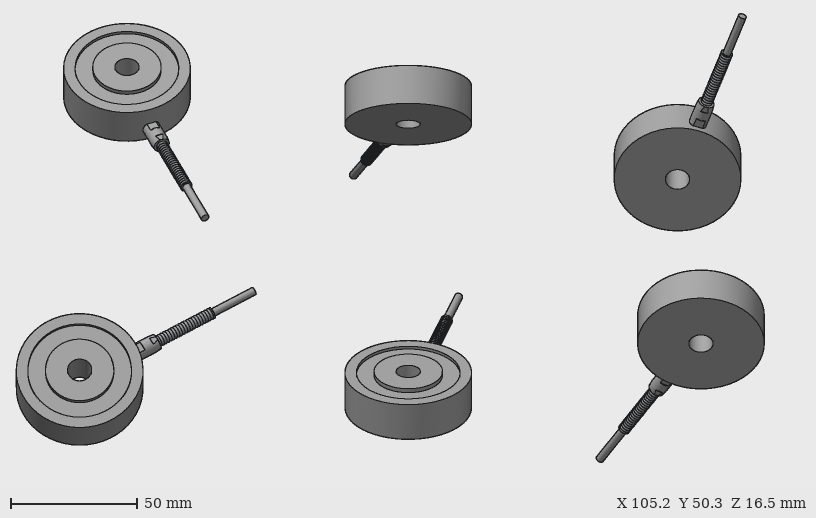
import cadquery as cq
import math

body_diameter = 50.3
body_height = 16.0
bore_diameter = 9.6
recess_diameter = 41.1
recess_depth = 1.3
boss_diameter = 27.2
total_height = 16.5

cable_axis_height = 5.4
body_radius = body_diameter / 2
overall_length = 105.2
cable_end = overall_length - body_radius
entry_depth = 2.1
entry_start = body_radius - entry_depth

gland_diameter = 7.0
gland_length = 8.1
gland_end = body_radius + gland_length
collar_length = 2.3
collar_end = gland_end + collar_length
collar_end_diameter = 6.5
wrench_flat_spacing = 5.9
wrench_flat_length = 3.7
collar_flat_spacing = 6.4
collar_flat_lead = 0.3

rib_count = 21
sleeve_diameter = 4.7
sleeve_root_diameter = 3.9
sleeve_length = 25.4
sleeve_overlap = 0.1
sleeve_start = collar_end - sleeve_overlap
sleeve_end = collar_end + sleeve_length
rib_pitch = (sleeve_end - sleeve_start) / (rib_count + 0.5)

cable_diameter = 3.3


def make_body():
    """Ring with a recessed top face, a raised centre boss and a through bore."""
    ring = cq.Workplane("XY").circle(body_radius).extrude(body_height)
    recess = (
        cq.Workplane("XY")
        .workplane(offset=body_height - recess_depth)
        .circle(recess_diameter / 2)
        .extrude(recess_depth)
    )
    boss = cq.Workplane("XY").circle(boss_diameter / 2).extrude(total_height)
    bore = cq.Workplane("XY").circle(bore_diameter / 2).extrude(total_height)
    return ring.cut(recess).union(boss).cut(bore)


def revolve_about_cable(profile):
    """Turn a closed profile, drawn as (x, radius), about the cable axis."""
    turned = profile.close().revolve(360, (0, 0, 0), (1, 0, 0))
    return turned.translate((0, 0, cable_axis_height))


def flat_cutters(x_start, x_end, spacing):
    """Blocks above and below the cable axis that leave two flats this far apart."""
    height = gland_diameter - spacing
    blocks = cq.Workplane("XY")
    for side in (1, -1):
        center = (
            (x_start + x_end) / 2,
            0,
            cable_axis_height + side * (spacing + height) / 2,
        )
        block = cq.Workplane("XY").box(x_end - x_start, gland_diameter, height)
        blocks = blocks.add(block.translate(center))
    return blocks.combine()


def make_gland():
    """Round gland with wrench flats next to the body and a tapered, flatted collar."""
    profile = (
        cq.Workplane("XZ")
        .moveTo(entry_start, 0)
        .lineTo(entry_start, gland_diameter / 2)
        .lineTo(gland_end, gland_diameter / 2)
        .lineTo(collar_end, collar_end_diameter / 2)
        .lineTo(collar_end, 0)
    )
    wrench_flats = flat_cutters(entry_start, body_radius + wrench_flat_length, wrench_flat_spacing)
    collar_flats = flat_cutters(gland_end - collar_flat_lead, collar_end, collar_flat_spacing)
    return revolve_about_cable(profile).cut(wrench_flats).cut(collar_flats)


def make_sleeve():
    """Row of round ribs, drawn as one outline of equal arcs that ends on a half rib."""
    root_radius = sleeve_root_diameter / 2
    crest_radius = sleeve_diameter / 2
    profile = cq.Workplane("XZ").moveTo(sleeve_start, 0).lineTo(sleeve_start, root_radius)
    for rib in range(rib_count):
        rib_start = sleeve_start + rib * rib_pitch
        crest = (rib_start + rib_pitch / 2, crest_radius)
        profile = profile.threePointArc(crest, (rib_start + rib_pitch, root_radius))
    rise = crest_radius - root_radius
    rib_radius = (rise**2 + (rib_pitch / 2) ** 2) / (2 * rise)
    quarter_height = crest_radius - rib_radius + math.sqrt(rib_radius**2 - (rib_pitch / 4) ** 2)
    profile = (
        profile.threePointArc((sleeve_end - rib_pitch / 4, quarter_height), (sleeve_end, crest_radius))
        .lineTo(sleeve_end, 0)
    )
    return revolve_about_cable(profile)


def make_cable():
    """Plain round cable running from the gland to the free end."""
    profile = (
        cq.Workplane("XZ")
        .moveTo(gland_end, 0)
        .lineTo(gland_end, cable_diameter / 2)
        .lineTo(cable_end, cable_diameter / 2)
        .lineTo(cable_end, 0)
    )
    return revolve_about_cable(profile)


result = make_body().union(make_gland()).union(make_sleeve()).union(make_cable())